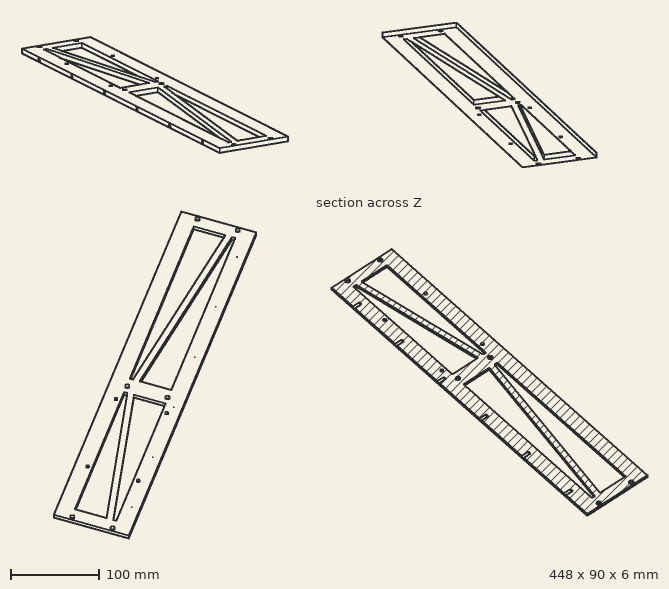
import cadquery as cq

length = 448.0
width = 90.0
thickness = 6.0

end_margin = 15.2
side_margin = 20.0
cross_bar_left = -36.0
cross_bar_right = -15.5
window_end = length / 2 - end_margin
window_half_width = width / 2 - side_margin
brace_end_offset = 17.0
brace_height = 8.0

mount_diameter = 5.0
mount_end_inset = 4.0
mount_middle_x = -27.0
mount_y = 24.0
mount_end_x = length / 2 - mount_end_inset

rail_diameter = 3.3
rail_hole_xs = (-148.0, -48.0)
rail_hole_y = 30.5

edge_diameter = 3.2
edge_count = 6
edge_spacing = 74.0
edge_depth = 10.0


def prism(points):
    """Cutter through the full plate thickness."""
    return cq.Workplane("XY").workplane(offset=-thickness / 2).polyline(points).close().extrude(thickness)


def cut_window(plate, low_x, high_x):
    """Cut a window, leaving a brace that rises from low_x to high_x."""
    half_brace = brace_height / 2
    above_brace = [
        (low_x, window_half_width),
        (high_x, window_half_width),
        (high_x, brace_end_offset + half_brace),
        (low_x, -brace_end_offset + half_brace),
    ]
    below_brace = [
        (low_x, -window_half_width),
        (high_x, -window_half_width),
        (high_x, brace_end_offset - half_brace),
        (low_x, -brace_end_offset - half_brace),
    ]
    return plate.cut(prism(above_brace)).cut(prism(below_brace))


def drill_pairs(plate, xs, y, diameter):
    """Drill through holes mirrored about the X axis."""
    points = [(x, side * y) for x in xs for side in (-1, 1)]
    return plate.faces(">Z").workplane(origin=(0, 0, 0)).pushPoints(points).hole(diameter)


def drill_edge(plate):
    """Drill the row of blind holes into the -Y edge."""
    return (
        plate.faces("<Y").workplane(centerOption="CenterOfBoundBox")
        .rarray(edge_spacing, 4.5, edge_count, 1)
        .hole(edge_diameter, edge_depth)
    )


result = cq.Workplane("XY").box(length, width, thickness)
result = cut_window(result, -window_end, cross_bar_left)
result = cut_window(result, window_end, cross_bar_right)
result = drill_pairs(result, (-mount_end_x, mount_middle_x, mount_end_x), mount_y, mount_diameter)
result = drill_pairs(result, rail_hole_xs, rail_hole_y, rail_diameter)
result = drill_edge(result)